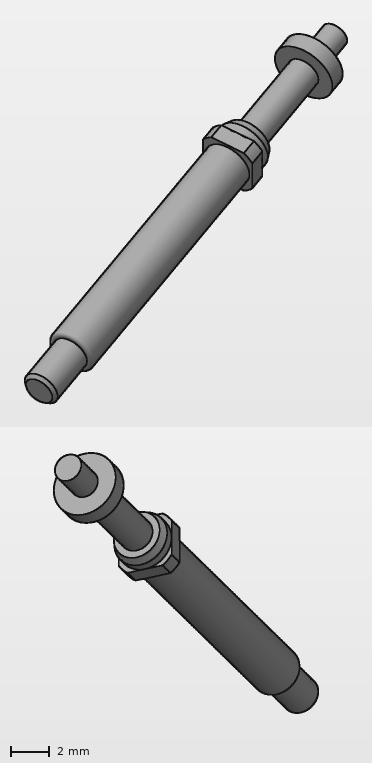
import cadquery as cq

total_length = 28.3
tip_length = 2.0
flange_thickness = 1.0
rod_length = 5.3
nose_length = 0.48
collar_length = 1.5
flats_length = 0.95
tail_length = 3.0

rear_end = total_length / 2
front_end = -total_length / 2
flange_rear = rear_end - tip_length
flange_front = flange_rear - flange_thickness
nose_rear = flange_front - rod_length
collar_rear = nose_rear - nose_length
collar_front = collar_rear - collar_length
barrel_front = front_end + tail_length

tip_diameter = 1.5
flange_diameter = 3.5
rod_diameter = 1.8
nose_diameter = 2.6
collar_diameter = 3.0
barrel_diameter = 2.65
tail_diameter = 2.0

across_flats = collar_diameter
across_corners = 3.6

barrel_fillet = 0.2
tail_chamfer = 0.2


def cylinder(diameter, front, rear):
    """Cylinder on the Y axis between two positions."""
    return cq.Workplane("XZ", origin=(0, rear, 0)).circle(diameter / 2).extrude(rear - front)


def cone(front_diameter, rear_diameter, front, rear):
    """Truncated cone on the Y axis between two positions."""
    profile = [
        (0, front),
        (front_diameter / 2, front),
        (rear_diameter / 2, rear),
        (0, rear),
    ]
    return cq.Workplane("XY").polyline(profile).close().revolve(360, (0, 0, 0), (0, 1, 0))


def plunger():
    """Thin tip, round flange and the rod that runs into the nose."""
    tip = cylinder(tip_diameter, flange_rear, rear_end)
    flange = cylinder(flange_diameter, flange_front, flange_rear)
    rod = cylinder(rod_diameter, nose_rear, flange_front)
    return tip.union(flange).union(rod)


def collar():
    """Round collar with a tapered nose and four wrench flats at its front."""
    nose = cone(collar_diameter, nose_diameter, collar_rear, nose_rear)
    ring = cylinder(collar_diameter, collar_front, collar_rear)
    flats_rear = collar_front + flats_length
    flats_middle = collar_front + flats_length / 2
    square = cq.Workplane("XY").box(across_flats, flats_length, across_flats)
    square = square.translate((0, flats_middle, 0))
    wrench_section = cylinder(across_corners, collar_front, flats_rear).intersect(square)
    return nose.union(ring).union(wrench_section)


def barrel():
    """Long barrel with a rounded front edge."""
    return cylinder(barrel_diameter, barrel_front, collar_front).faces("<Y").edges().fillet(barrel_fillet)


def tail():
    """Reduced front end with a chamfered edge."""
    return cylinder(tail_diameter, front_end, barrel_front).faces("<Y").edges().chamfer(tail_chamfer)


result = plunger().union(collar()).union(barrel()).union(tail())